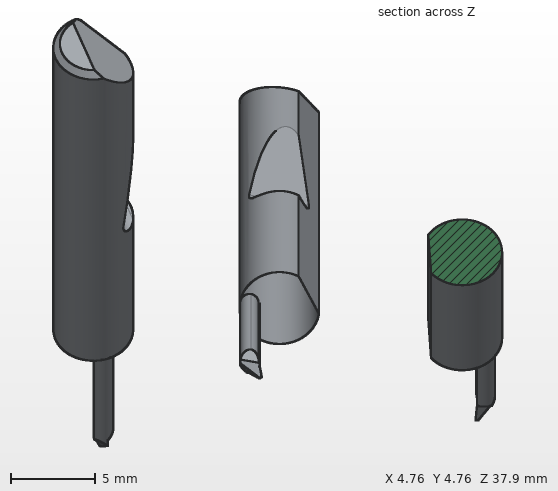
import cadquery as cq
import math

SHANK_RADIUS = 2.38
SHANK_LENGTH = 27.88
TOP_CHAMFER = 0.4

BEVEL_START_Y = -0.6

FLAT_DISTANCE = 1.94
FLAT_ANGLE = 142.8

NOTCH_BOTTOM_Z = 10.95
NOTCH_TOP_Z = 19.7
NOTCH_DEPTH = 1.4
NOTCH_FILLET = 1.0

NECK_RADIUS = 0.59
NECK_STEP = 0.08
NECK_X = SHANK_RADIUS - NECK_RADIUS
NECK_OVERLAP = 0.5
NECK_BEVEL_END_Z = -8.0

RAKE_Y = 0.06
TIP_Z = -10.0
TIP_X = 1.24
NOSE_X = 1.08
NOSE_Z = -9.85
FLANK_TOP_X = 1.2
FLANK_TOP_Z = -8.44
EDGE_TOP_X = SHANK_RADIUS
EDGE_TOP_Z = -8.52
FLANK_RELIEF = 52.0
EDGE_RELIEF = 42.0
NOSE_RELIEF = 20.0
RUNOUT_ANGLE = 45.0

CUTTER_SIZE = 100.0


def half_space(origin, normal, x_dir):
    """A large block on the side of the plane that the normal points to."""
    plane = cq.Plane(origin=origin, xDir=x_dir, normal=normal)
    return cq.Workplane(plane).rect(CUTTER_SIZE, CUTTER_SIZE).extrude(CUTTER_SIZE)


def relief_plane_normal(start, end, relief):
    """Outward normal of a relief face through a rake-face edge, given as (x, z) points."""
    dx = end[0] - start[0]
    dz = end[1] - start[1]
    length = math.hypot(dx, dz)
    across = math.cos(math.radians(relief)) / length
    return (dz * across, -math.sin(math.radians(relief)), -dx * across)


def relief_cut(start, end, relief):
    """Everything outside the relief face that leans inward from the edge start -> end."""
    normal = relief_plane_normal(start, end, relief)
    along = (end[0] - start[0], 0, end[1] - start[1])
    return half_space((start[0], RAKE_Y, start[1]), normal, along)


def make_shank():
    """Round shank with its chamfered top, back bevel, side flat and clamping notch."""
    shank = cq.Workplane("XY").circle(SHANK_RADIUS).extrude(SHANK_LENGTH)
    shank = shank.faces(">Z").chamfer(TOP_CHAMFER)
    bevel = half_space((0, BEVEL_START_Y, SHANK_LENGTH), (0, 1, 1), (1, 0, 0))
    angle = math.radians(FLAT_ANGLE)
    facing = (math.cos(angle), math.sin(angle), 0)
    foot = (FLAT_DISTANCE * facing[0], FLAT_DISTANCE * facing[1], 0)
    flat = half_space(foot, facing, (0, 0, 1))
    return shank.cut(bevel).cut(flat).cut(make_notch())


def make_notch():
    """Notch cutter, running across the shank along X."""
    notch = (
        cq.Workplane("YZ")
        .moveTo(SHANK_RADIUS, NOTCH_TOP_Z)
        .lineTo(SHANK_RADIUS - NOTCH_DEPTH, NOTCH_BOTTOM_Z)
        .lineTo(SHANK_RADIUS, NOTCH_BOTTOM_Z)
        .close()
        .extrude(SHANK_RADIUS, both=True)
    )
    return notch.edges("<Y").fillet(NOTCH_FILLET)


def neck_bar(center_x):
    """Plain round bar from just inside the shank down to the tip."""
    return (
        cq.Workplane("XY", origin=(center_x, 0, TIP_Z))
        .circle(NECK_RADIUS)
        .extrude(NECK_OVERLAP - TIP_Z)
    )


def make_neck():
    """Neck bar down to the tip, widened to reach the nose, with the back bevelled off at 45 degrees."""
    behind_rake = half_space((NECK_X, RAKE_Y, 0), (0, 1, 0), (1, 0, 0))
    front = neck_bar(NECK_X).cut(behind_rake)
    widening = (
        cq.Workplane("XY", origin=(NOSE_X, -NECK_RADIUS, TIP_Z))
        .box(NECK_X - NOSE_X, NECK_RADIUS + RAKE_Y, FLANK_TOP_Z - TIP_Z, centered=False)
    )
    bevel = half_space((NECK_X, RAKE_Y, NECK_BEVEL_END_Z), (0, 1, -1), (1, 0, 0))
    stepped_bar = neck_bar(NECK_X).intersect(neck_bar(NECK_X + NECK_STEP))
    back = stepped_bar.intersect(behind_rake).cut(bevel)
    return front.union(widening).union(back)


def make_flank_cut():
    """Relief cut beside the -X edge, ending upward in a sloped run-out."""
    flank_top = (FLANK_TOP_X, FLANK_TOP_Z)
    flank = relief_cut(flank_top, (NOSE_X, NOSE_Z), FLANK_RELIEF)
    relief = math.radians(FLANK_RELIEF)
    runout = math.radians(RUNOUT_ANGLE)
    runout_normal = (
        -math.cos(relief) * math.sin(runout),
        -math.sin(relief) * math.sin(runout),
        -math.cos(runout),
    )
    along_flank = (math.sin(relief), -math.cos(relief), 0)
    below_runout = half_space((FLANK_TOP_X, RAKE_Y, FLANK_TOP_Z), runout_normal, along_flank)
    return flank.intersect(below_runout)


def make_cutting_bar():
    """Neck with the tip ground to a point by the flank, cutting edge and nose reliefs."""
    edge = relief_cut((TIP_X, TIP_Z), (EDGE_TOP_X, EDGE_TOP_Z), EDGE_RELIEF)
    nose = relief_cut((NOSE_X, NOSE_Z), (TIP_X, TIP_Z), NOSE_RELIEF)
    return make_neck().cut(make_flank_cut()).cut(edge).cut(nose)


result = make_shank().union(make_cutting_bar())